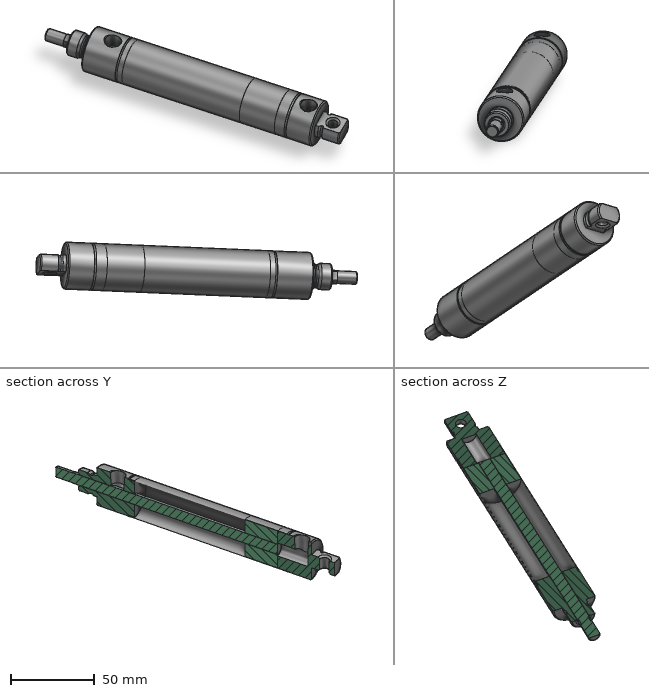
import cadquery as cq
import math

total_length = 193.7
barrel_radius = 14.1
tube_wall = 0.5
bore_radius = barrel_radius - tube_wall
tube_end_bevel_depth = 0.4
tube_end_bevel_length = 1.2
rim_chamfer = 0.8

nose_start = 15.9
front_cap_start = 28.5
front_joint = 50.5
front_spigot_end = 54.8
piston_start = 131.3
rear_spigot_start = 154.2
rear_joint = 162.0
rear_cap_end = 177.8

rod_radius = 4.0
stud_radius = 3.9
stud_chamfer = 0.5
stud_end = 12.2
flat_half_width = 3.1

neck_radius = 8.0
neck_chamfer = 0.8
groove_radius = 7.0
nose_groove_start = 22.5
nose_groove_shoulder = 23.6
nose_groove_shoulder_radius = 7.4
nose_groove_floor = (24.2, 25.4)
nose_groove_end = 26.5
mouth_chamfer = 1.0
tang_groove_start = 180.0
tang_groove_floor_start = 181.0
tang_groove_floor_end = 182.3
tang_groove_end = 182.6
tang_thickness = 10.0
tang_hole_x = 186.5
tang_hole_radius = 3.1
tang_hole_chamfer = 1.2

front_port_x = 43.0
rear_port_x = 170.6
port_mouth_radius = 5.5
port_mouth_chamfer = 0.5
port_floor_radius = 4.3
port_floor_z = 4.8
drill_half_angle = 30.0
rear_bore_radius = 4.6
rear_bore_end = rear_port_x + port_floor_radius


def turned(profile):
    """Solid of revolution about X from (x, radius) points."""
    start = (profile[0][0], 0)
    end = (profile[-1][0], 0)
    return cq.Workplane("XY").polyline([start, *profile, end]).close().revolve(360, (0, 0, 0), (1, 0, 0))


def drilled_from_top(x, profile):
    """Solid of revolution about the vertical line at x, from (radius, z) points ending on that line."""
    start = (0, profile[0][1])
    tool = cq.Workplane("XZ").polyline([start, *profile]).close().revolve(360, (0, 0, 0), (0, 1, 0))
    return tool.translate((x, 0, 0))


def tapered_port():
    """Chamfered mouth and tapered wall shared by both ports."""
    return [
        (port_mouth_radius, barrel_radius),
        (port_mouth_radius - port_mouth_chamfer, barrel_radius - port_mouth_chamfer),
        (port_floor_radius, port_floor_z),
    ]


def make_rod():
    rod = turned([
        (0, stud_radius - stud_chamfer),
        (stud_chamfer, stud_radius),
        (stud_end, stud_radius),
        (stud_end, rod_radius),
        (rear_spigot_start, rod_radius),
    ])
    flat_length = nose_start - stud_end
    for side in (-1, 1):
        cutter = cq.Workplane("XY").box(flat_length, rod_radius, 2 * rod_radius)
        flat_y = side * (flat_half_width + rod_radius / 2)
        rod = rod.cut(cutter.translate((stud_end + flat_length / 2, flat_y, 0)))
    return rod


def make_front_cap():
    cap = turned([
        (nose_start, neck_radius - neck_chamfer),
        (nose_start + neck_chamfer, neck_radius),
        (nose_groove_start, neck_radius),
        (nose_groove_shoulder, nose_groove_shoulder_radius),
        (nose_groove_floor[0], groove_radius),
        (nose_groove_floor[1], groove_radius),
        (nose_groove_end, neck_radius),
        (front_cap_start, neck_radius),
        (front_cap_start, barrel_radius - rim_chamfer),
        (front_cap_start + rim_chamfer, barrel_radius),
        (front_joint, barrel_radius),
        (front_joint, bore_radius),
        (front_spigot_end, bore_radius),
    ])
    rod_bore = turned([
        (nose_start, rod_radius + mouth_chamfer),
        (nose_start + mouth_chamfer, rod_radius),
        (front_spigot_end, rod_radius),
    ])
    cone_height = port_floor_radius / math.tan(math.radians(drill_half_angle))
    port = drilled_from_top(front_port_x, [
        *tapered_port(),
        (0, port_floor_z - cone_height),
    ])
    return cap.cut(rod_bore).cut(port)


def make_tube():
    bevelled_radius = barrel_radius - tube_end_bevel_depth
    outside = turned([
        (front_joint, bevelled_radius),
        (front_joint + tube_end_bevel_length, barrel_radius),
        (rear_joint - tube_end_bevel_length, barrel_radius),
        (rear_joint, bevelled_radius),
    ])
    bore = turned([(front_joint, bore_radius), (rear_joint, bore_radius)])
    return outside.cut(bore)


def make_piston():
    disc = turned([(piston_start, bore_radius), (rear_spigot_start, bore_radius)])
    rod_hole = turned([(piston_start, rod_radius), (rear_spigot_start, rod_radius)])
    return disc.cut(rod_hole)


def make_rear_cap():
    cap = turned([
        (rear_spigot_start, bore_radius),
        (rear_joint, bore_radius),
        (rear_joint, barrel_radius),
        (rear_cap_end - rim_chamfer, barrel_radius),
        (rear_cap_end, barrel_radius - rim_chamfer),
        (rear_cap_end, neck_radius),
        (tang_groove_start, neck_radius),
        (tang_groove_floor_start, groove_radius),
        (tang_groove_floor_end, groove_radius),
        (tang_groove_end, groove_radius + tang_groove_end - tang_groove_floor_end),
        (tang_groove_end, neck_radius),
        (total_length - neck_chamfer, neck_radius),
        (total_length, neck_radius - neck_chamfer),
    ])
    air_bore = turned([(rear_spigot_start, rear_bore_radius), (rear_bore_end, rear_bore_radius)])
    port = drilled_from_top(rear_port_x, [*tapered_port(), (port_floor_radius, 0), (0, 0)])
    return cut_tang(cap).cut(air_bore).cut(port)


def cut_tang(cap):
    """Mill the two flats of the tang and drill its cross hole."""
    tang_length = total_length - rear_cap_end
    half_thickness = tang_thickness / 2
    for side in (-1, 1):
        cutter = cq.Workplane("XY").box(tang_length, 2 * neck_radius, neck_radius)
        flat_z = side * (half_thickness + neck_radius / 2)
        cap = cap.cut(cutter.translate((rear_cap_end + tang_length / 2, 0, flat_z)))
    countersunk_radius = tang_hole_radius + tang_hole_chamfer
    hole = drilled_from_top(tang_hole_x, [
        (countersunk_radius, half_thickness),
        (tang_hole_radius, half_thickness - tang_hole_chamfer),
        (tang_hole_radius, tang_hole_chamfer - half_thickness),
        (countersunk_radius, -half_thickness),
        (0, -half_thickness),
    ])
    return cap.cut(hole)


rod = make_rod()
front_cap = make_front_cap()
tube = make_tube()
piston = make_piston()
rear_cap = make_rear_cap()

result = cq.Compound.makeCompound([
    rod.val(),
    front_cap.val(),
    tube.val(),
    piston.val(),
    rear_cap.val(),
])